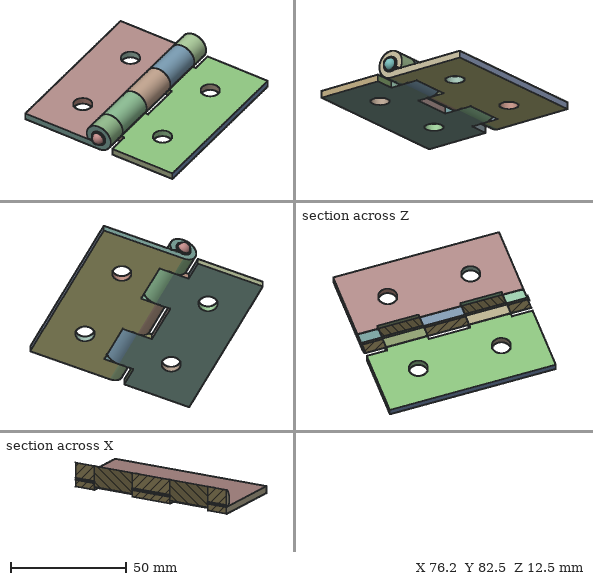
import cadquery as cq
import math

PIN_LENGTH = 82.55
HINGE_SIZE = 76.2
THICKNESS = 3.2
KNUCKLE_DIAMETER = 12.5
NOTCH_CLEARANCE = 0.75
ROLL_ANGLE = 300.0

HOLE_DIAMETER = 8.3
HOLE_X = 20.6

COLLAR_RADIUS = 3.4
COLLAR_HEIGHT = 0.6
DOME_RADIUS = 2.9

HALF_SIZE = HINGE_SIZE / 2
KNUCKLE_RADIUS = KNUCKLE_DIAMETER / 2
BORE_RADIUS = KNUCKLE_RADIUS - THICKNESS
NOTCH_X = KNUCKLE_RADIUS + NOTCH_CLEARANCE
HOLE_Y = HINGE_SIZE / 4

KNUCKLE_LENGTH = HINGE_SIZE / 4
END_LENGTH = KNUCKLE_LENGTH / 2
END_CENTER = HALF_SIZE - END_LENGTH / 2

LEFT_KNUCKLES = [(-END_CENTER, END_LENGTH), (0, KNUCKLE_LENGTH), (END_CENTER, END_LENGTH)]
RIGHT_KNUCKLES = [(-KNUCKLE_LENGTH, KNUCKLE_LENGTH), (KNUCKLE_LENGTH, KNUCKLE_LENGTH)]


def axis_point(radius, degrees):
    """XZ point at a polar position around the hinge axis."""
    angle = math.radians(degrees)
    return (radius * math.cos(angle), KNUCKLE_RADIUS + radius * math.sin(angle))


def make_plate(x_start, x_end, y_center, length):
    """Flat sheet lying on Z = 0."""
    return (
        cq.Workplane("XY")
        .box(x_end - x_start, length, THICKNESS, centered=(False, True, False))
        .translate((x_start, y_center, 0))
    )


def make_knuckle(y_center, length):
    """Tongue of sheet rolled clockwise from under the pin, open on the +X side."""
    start = -90
    middle = start - ROLL_ANGLE / 2
    end = start - ROLL_ANGLE
    roll = (
        cq.Workplane("XZ", origin=(0, y_center, 0))
        .moveTo(*axis_point(KNUCKLE_RADIUS, start))
        .threePointArc(axis_point(KNUCKLE_RADIUS, middle), axis_point(KNUCKLE_RADIUS, end))
        .lineTo(*axis_point(BORE_RADIUS, end))
        .threePointArc(axis_point(BORE_RADIUS, middle), axis_point(BORE_RADIUS, start))
        .close()
        .extrude(length / 2, both=True)
    )
    return roll.union(make_plate(0, NOTCH_X, y_center, length))


def make_leaf(knuckles):
    """Leaf on the +X side with its knuckles and screw holes."""
    leaf = make_plate(NOTCH_X, HALF_SIZE, 0, HINGE_SIZE)
    for y_center, length in knuckles:
        leaf = leaf.union(make_knuckle(y_center, length))
    holes = (
        cq.Workplane("XY")
        .pushPoints([(HOLE_X, -HOLE_Y), (HOLE_X, HOLE_Y)])
        .circle(HOLE_DIAMETER / 2)
        .extrude(THICKNESS)
    )
    return leaf.cut(holes)


def make_pin():
    """Pin filling the bore, with a collar and a dome outside each end knuckle."""
    collar_y = HALF_SIZE + COLLAR_HEIGHT
    tip_y = PIN_LENGTH / 2
    dome_height = tip_y - collar_y
    sphere_radius = (DOME_RADIUS**2 + dome_height**2) / (2 * dome_height)
    sphere_y = tip_y - sphere_radius
    middle_angle = math.atan2(DOME_RADIUS, collar_y - sphere_y) / 2
    dome_middle = (
        sphere_radius * math.sin(middle_angle),
        sphere_y + sphere_radius * math.cos(middle_angle),
    )
    half_pin = (
        cq.Workplane("XY")
        .lineTo(BORE_RADIUS, 0)
        .lineTo(BORE_RADIUS, HALF_SIZE)
        .lineTo(COLLAR_RADIUS, HALF_SIZE)
        .lineTo(COLLAR_RADIUS, collar_y)
        .lineTo(DOME_RADIUS, collar_y)
        .threePointArc(dome_middle, (0, tip_y))
        .close()
        .revolve(360, (0, 0, 0), (0, 1, 0))
    )
    return half_pin.union(half_pin.mirror("XZ")).translate((0, 0, KNUCKLE_RADIUS))


right_leaf = make_leaf(RIGHT_KNUCKLES)
left_leaf = make_leaf(LEFT_KNUCKLES).mirror("YZ")
pin = make_pin()

result = cq.Compound.makeCompound([left_leaf.val(), right_leaf.val(), pin.val()])